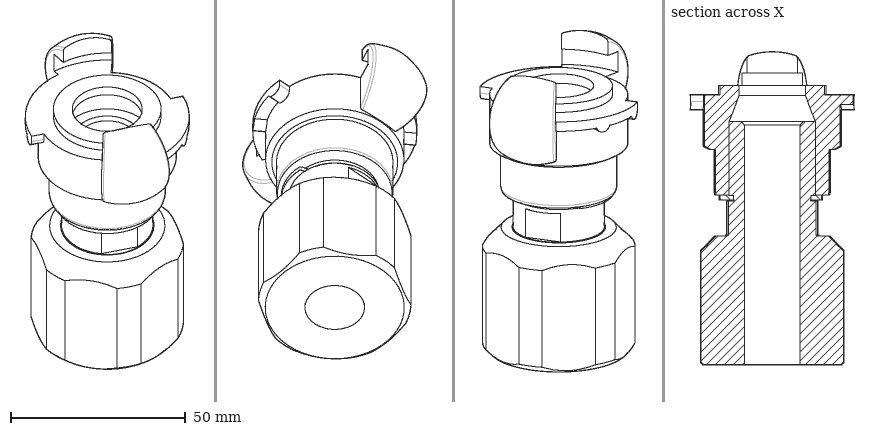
import cadquery as cq
import math

hex_height = 37.0
hex_across_flats = 41.0
hex_corner_radius = 21.9
hex_top_radius = 16.5
hex_shoulder_height = 5.6
hex_bottom_radius = 19.9
stem_radius = 13.1
stem_foot_radius = 13.4
shoulder_z = 47.0
neck_radius = 11.5
flat_across = 23.9
flat_bottom_z = 37.1
flat_top_z = 45.75
nipple_top_z = 69.7
bore_diameter = 17.0
bore_mouth_diameter = 19.0

clip_radius = 14.8
clip_offset = 1.35
clip_angle = -19.0
clip_opening_distance = 5.6
clip_end_fillet = 0.7
clip_bottom_z = 47.2

housing_bottom_z = 48.6
collar_radius = 16.7
collar_edge_height = 0.9
collar_edge_inset = 0.3
head_bottom_z = 61.6
head_radius = 19.8
head_edge_height = 1.0
head_edge_inset = 1.8
face_z = 77.4
seat_radius = 15.4
seat_top_z = 80.0
seat_bore_diameter = 20.0
cavity_diameter = 25.5
cavity_roof_z = 77.1

flange_radius = 23.5
flange_thickness = 2.9
stop_radius = 2.4
claw_half_angle = 20.0
stop_axis_z = 75.4
outer_stop_angle = 35.0

claw_reach = 31.5
claw_round_radius = 13.6
claw_round_z = 76.4
claw_crown_radius = 17.9
claw_width = 23.3
claw_root_radius = 17.9
claw_edge_fillet = 0.8
tip_radius = 21.0
slot_radius = 25.4
slot_top_z = 83.6

cavity_radius = cavity_diameter / 2
bore_radius = bore_diameter / 2


def revolved(points):
    """Solid of revolution about Z from a closed outline of (radius, z) points."""
    return cq.Workplane("XZ").polyline(points).close().revolve(360, (0, 0, 0), (0, 1, 0))


def cylinder(radius, bottom, top):
    return cq.Workplane("XY").workplane(offset=bottom).circle(radius).extrude(top - bottom)


def opposite(shape):
    """The same shape turned half a turn about the coupling axis."""
    return shape.rotate((0, 0, 0), (0, 0, 1), 180)


def wedge(start_angle, end_angle, radius, bottom, top):
    """Sector between two directions (degrees from +X) up to the given radius."""
    start, end = math.radians(start_angle), math.radians(end_angle)
    middle = (start + end) / 2
    outline = (
        cq.Workplane("XY").workplane(offset=bottom)
        .lineTo(radius * math.cos(start), radius * math.sin(start))
        .threePointArc(
            (radius * math.cos(middle), radius * math.sin(middle)),
            (radius * math.cos(end), radius * math.sin(end)),
        )
        .close()
    )
    return outline.extrude(top - bottom)


def make_nipple():
    hex_diagonal = hex_across_flats / math.cos(math.radians(30))
    hexagon = cq.Workplane("XY").polygon(6, hex_diagonal).extrude(hex_height)
    turned = revolved([
        (0, 0),
        (hex_bottom_radius, 0),
        (hex_corner_radius, hex_corner_radius - hex_bottom_radius),
        (hex_corner_radius, hex_height - hex_shoulder_height),
        (hex_top_radius, hex_height),
        (0, hex_height),
    ])
    hexagon = hexagon.intersect(turned)

    stem = revolved([
        (0, 0),
        (stem_foot_radius, 0),
        (stem_foot_radius, flat_bottom_z),
        (stem_radius, flat_bottom_z),
        (stem_radius, shoulder_z),
        (neck_radius, shoulder_z),
        (neck_radius, housing_bottom_z),
        (cavity_radius, housing_bottom_z),
        (cavity_radius, nipple_top_z),
        (0, nipple_top_z),
    ])

    flat_band = cylinder(2 * stem_radius, flat_bottom_z, flat_top_z)
    between_flats = cq.Workplane("XY").workplane(offset=flat_bottom_z).rect(
        flat_across, 4 * stem_radius).extrude(flat_top_z - flat_bottom_z)
    stem = stem.cut(flat_band.cut(between_flats))

    mouth_radius = bore_mouth_diameter / 2
    bore = revolved([
        (0, 0),
        (bore_radius, 0),
        (bore_radius, nipple_top_z - (mouth_radius - bore_radius)),
        (mouth_radius, nipple_top_z),
        (0, nipple_top_z),
    ])
    return hexagon.union(stem).cut(bore)


def make_clip():
    """Eccentric open ring, built with its opening towards -X and then turned into place."""
    thickness = housing_bottom_z - clip_bottom_z
    ring = (
        cq.Workplane("XY").workplane(offset=clip_bottom_z)
        .center(clip_offset, 0).circle(clip_radius)
        .center(-clip_offset, 0).circle(neck_radius)
        .extrude(thickness)
    )
    opening = cq.Workplane("XY").workplane(offset=clip_bottom_z).box(
        2 * clip_radius, 4 * clip_radius, thickness, centered=(True, True, False)
    ).translate((-clip_opening_distance - clip_radius, 0, 0))
    ring = ring.cut(opening)
    ring = ring.faces("<X").edges("|Z").fillet(clip_end_fillet)
    return ring.rotate((0, 0, 0), (0, 0, 1), clip_angle)


def make_housing_body():
    return revolved([
        (0, housing_bottom_z),
        (collar_radius - collar_edge_inset, housing_bottom_z),
        (collar_radius, housing_bottom_z + collar_edge_height),
        (collar_radius, head_bottom_z),
        (head_radius - head_edge_inset, head_bottom_z),
        (head_radius, head_bottom_z + head_edge_height),
        (head_radius, face_z),
        (seat_radius, face_z),
        (seat_radius, seat_top_z),
        (0, seat_top_z),
    ])


def make_stop(angle):
    """Round-ended radial stop through and under the flange, at an angle from -Y towards -X."""
    stop = (
        cq.Workplane("XZ")
        .moveTo(-stop_radius, face_z)
        .lineTo(-stop_radius, stop_axis_z)
        .threePointArc((0, stop_axis_z - stop_radius), (stop_radius, stop_axis_z))
        .lineTo(stop_radius, face_z)
        .close()
        .extrude(2 * flange_radius)
    )
    return stop.rotate((0, 0, 0), (0, 0, 1), -angle)


def make_flange():
    """Flange sector on the -Y side, from the -X claw to the stop that closes its end."""
    bottom = face_z - flange_thickness
    claw_side_angle = 180 + claw_half_angle
    end_stop_angle = 270
    sector = wedge(claw_side_angle, end_stop_angle, 2 * flange_radius, bottom, face_z)
    sector = sector.union(make_stop(0)).union(make_stop(outer_stop_angle))
    return sector.intersect(cylinder(flange_radius, bottom - stop_radius, face_z))


def make_claw():
    """Claw on the +X side: crowned round block with radial sides and a slot behind its tip."""
    centre_x = claw_reach - claw_round_radius
    half_width = claw_width / 2
    edge_radius = claw_round_radius - claw_crown_radius + math.sqrt(claw_crown_radius**2 - half_width**2)
    crown = (
        cq.Workplane("XY", origin=(centre_x, 0, claw_round_z))
        .moveTo(0, -half_width)
        .lineTo(edge_radius, -half_width)
        .threePointArc((claw_round_radius, 0), (edge_radius, half_width))
        .lineTo(0, half_width)
        .close()
        .revolve(360, (0, 0, 0), (0, 1, 0))
    )
    bottom = claw_round_z - claw_round_radius
    top = claw_round_z + claw_round_radius
    claw = crown.intersect(wedge(-claw_half_angle, claw_half_angle, 2 * claw_reach, bottom, top))
    claw = claw.cut(cylinder(claw_root_radius, bottom, top))
    crown_edges = cq.selectors.BoxSelector(
        (claw_root_radius, -half_width, bottom), (claw_reach, half_width, top))
    claw = claw.edges(crown_edges).fillet(claw_edge_fillet)
    claw = claw.cut(cylinder(tip_radius, face_z, top))
    return claw.cut(cylinder(slot_radius, face_z, slot_top_z))


def make_housing():
    housing = make_housing_body()
    for feature in (make_flange(), make_claw()):
        housing = housing.union(feature).union(opposite(feature))
    seat_bore_radius = seat_bore_diameter / 2
    passage = revolved([
        (0, housing_bottom_z),
        (cavity_radius, housing_bottom_z),
        (cavity_radius, nipple_top_z),
        (seat_bore_radius, cavity_roof_z),
        (seat_bore_radius, seat_top_z),
        (0, seat_top_z),
    ])
    return housing.cut(passage)


nipple = make_nipple()
clip = make_clip()
housing = make_housing()

result = cq.Compound.makeCompound([housing.val(), clip.val(), nipple.val()])